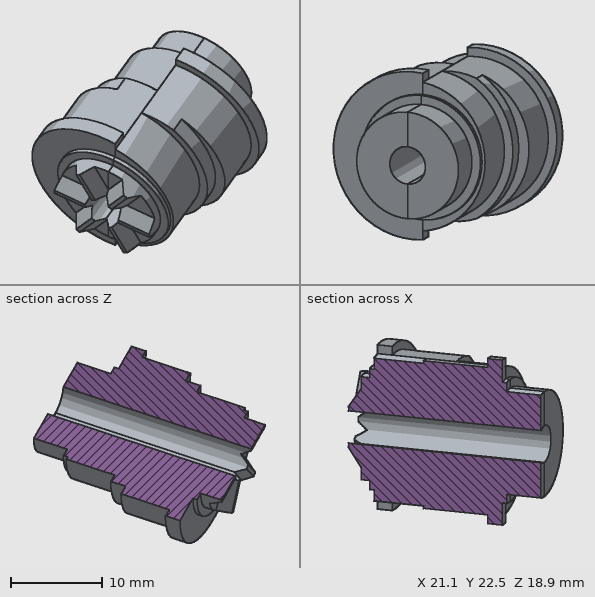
import cadquery as cq


length = 22.5
bore_radius = 2.1
neck_radius = 6.0
front_neck_length = 1.0
collar_radius = 7.0
collar_thickness = 0.5

tooth_count = 6
tooth_height = 1.5
tooth_base_width = 2.7
tooth_tip_width = 0.5

eccentricity = 1.1
barrel_radius = 8.45
flange_height = 1.0
flange_radius = barrel_radius + flange_height
flange_thickness = 1.75
barrel_length = 4.0

front_y = -length / 2
back_y = length / 2
tooth_root_y = front_y + tooth_height
front_collar_y = tooth_root_y + front_neck_length
rim_front_y = front_collar_y + collar_thickness
front_flange_end_y = rim_front_y + flange_thickness
right_step_y = front_flange_end_y + barrel_length
middle_y = right_step_y + flange_thickness
left_step_end_y = middle_y + flange_thickness
back_flange_y = left_step_end_y + barrel_length
rim_back_y = back_flange_y + flange_thickness
back_collar_end_y = rim_back_y + collar_thickness

LEFT = -1
RIGHT = 1


def disc(radius, start_y, end_y, center_x=0):
    """Solid cylinder along Y between two stations."""
    plane = cq.Plane(origin=(center_x, start_y, 0), xDir=(1, 0, 0), normal=(0, 1, 0))
    return cq.Workplane(plane).circle(radius).extrude(end_y - start_y)


def barrel(side, start_y, end_y):
    """Barrel disc offset towards the given side."""
    return disc(barrel_radius, start_y, end_y, side * eccentricity)


def flange(side, start_y, end_y):
    """Flange disc offset towards the given side."""
    return disc(flange_radius, start_y, end_y, side * eccentricity)


def tooth(angle):
    """One radial tooth bar, longer than the neck radius, that tapers from the root to the tip."""
    root_half = tooth_base_width / 2
    tip_half = tooth_tip_width / 2
    profile = [
        (tooth_root_y, -root_half),
        (front_y, -tip_half),
        (front_y, tip_half),
        (tooth_root_y, root_half),
    ]
    bar = cq.Workplane("YZ").polyline(profile).close().extrude(collar_radius)
    return bar.rotate((0, 0, 0), (0, 1, 0), angle)


def core():
    """Necks, collars and teeth, before the bore is cut."""
    toothed_blank = disc(collar_radius, tooth_root_y, back_y)
    for index in range(tooth_count):
        toothed_blank = toothed_blank.union(tooth(index * 360 / tooth_count))
    neck = disc(neck_radius, front_y, back_y).intersect(toothed_blank)
    return neck.union(disc(collar_radius, front_collar_y, back_collar_end_y))


def relief_step(side, start_y, end_y):
    """Barrel trimmed where the opposite-side flange circle cuts into it."""
    return barrel(side, start_y, end_y).intersect(flange(-side, start_y, end_y))


def left_rim():
    """Wide front part with a flange, then a relief step and a narrow back part."""
    rim = flange(LEFT, rim_front_y, front_flange_end_y)
    rim = rim.union(barrel(LEFT, front_flange_end_y, middle_y))
    rim = rim.union(relief_step(LEFT, middle_y, left_step_end_y))
    return rim.union(barrel(RIGHT, left_step_end_y, rim_back_y))


def right_rim():
    """Narrow front part, then a relief step and a wide back part with a flange."""
    rim = barrel(LEFT, rim_front_y, right_step_y)
    rim = rim.union(relief_step(RIGHT, right_step_y, middle_y))
    rim = rim.union(barrel(RIGHT, middle_y, back_flange_y))
    return rim.union(flange(RIGHT, back_flange_y, rim_back_y))


def sleeve_half(side, rim):
    """Core and rim with the bore, kept only on one side of the split plane."""
    reach = flange_radius + eccentricity
    half_space = cq.Workplane("XY").box(reach, length, 2 * reach).translate((side * reach / 2, 0, 0))
    bore = disc(bore_radius, front_y, back_y)
    return core().union(rim).cut(bore).intersect(half_space)


left_half = sleeve_half(LEFT, left_rim())
right_half = sleeve_half(RIGHT, right_rim())

result = cq.Compound.makeCompound([left_half.val(), right_half.val()])